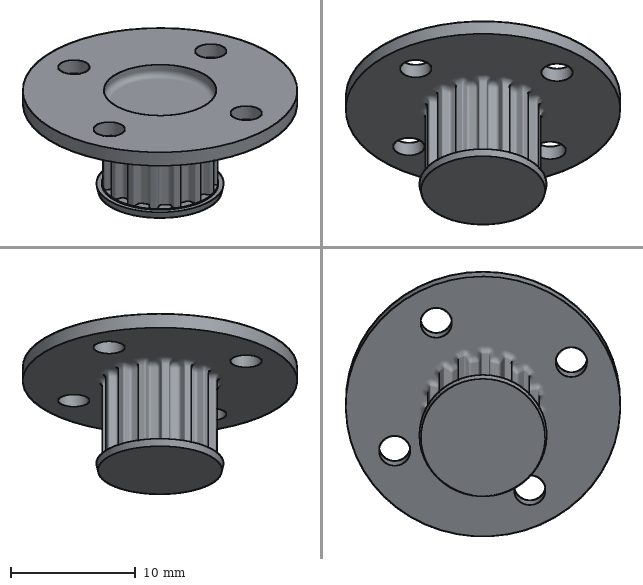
import cadquery as cq
import math

TOTAL_HEIGHT = 8.98
FLANGE_RADIUS = 11.0
FLANGE_THICKNESS = 1.2
FLANGE_BOTTOM = TOTAL_HEIGHT - FLANGE_THICKNESS
HOLE_COUNT = 4
HOLE_DIAMETER = 2.5
HOLE_CIRCLE_RADIUS = 8.0

POCKET_DIAMETER = 9.0
POCKET_DEPTH = 1.01
POCKET_FILLET = 0.5

RIM_BOTTOM_RADIUS = 4.97
RIM_TOP_RADIUS = 5.1
RIM_THICKNESS = 0.6
STEP_BOTTOM_RADIUS = 4.69
STEP_TOP_RADIUS = 4.65
STEP_HEIGHT = 0.07
STEP_TOP = RIM_THICKNESS + STEP_HEIGHT

TOOTH_COUNT = 15
TOOTH_PITCH = 2 * math.pi / TOOTH_COUNT
FIRST_TOOTH_ANGLE = -math.pi / 2
TIP_RADIUS = 4.6
GROOVE_DEPTH = 0.68
GROOVE_FLOOR_WIDTH = 0.81
GROOVE_FLANK_ANGLE = math.radians(20.0)
ROOT_FILLET = 0.25
TIP_FILLET = 0.1
NECK_FILLET = 0.48


def distance_from_axis(shape):
    center = shape.Center()
    return math.hypot(center.x, center.y)


def groove_corners(groove_angle):
    """The four corners of one groove, counter-clockwise: tip, root, root, tip."""
    root_radius = TIP_RADIUS - GROOVE_DEPTH
    root_half = GROOVE_FLOOR_WIDTH / 2
    mouth_half = root_half + GROOVE_DEPTH * math.tan(GROOVE_FLANK_ANGLE)
    corners = [
        (TIP_RADIUS, -mouth_half),
        (root_radius, -root_half),
        (root_radius, root_half),
        (TIP_RADIUS, mouth_half),
    ]
    cosine = math.cos(groove_angle)
    sine = math.sin(groove_angle)
    return [(r * cosine - t * sine, r * sine + t * cosine) for r, t in corners]


def toothed_barrel():
    outline = []
    for i in range(TOOTH_COUNT):
        outline += groove_corners(FIRST_TOOTH_ANGLE + (i + 0.5) * TOOTH_PITCH)
    barrel = cq.Workplane("XY").polyline(outline).close().extrude(FLANGE_BOTTOM)
    mid_groove_radius = TIP_RADIUS - GROOVE_DEPTH / 2
    root_edges = barrel.edges("|Z").filter(lambda e: distance_from_axis(e) < mid_groove_radius)
    barrel = root_edges.fillet(ROOT_FILLET)
    tip_edges = barrel.edges("|Z").filter(lambda e: distance_from_axis(e) > TIP_RADIUS)
    return tip_edges.fillet(TIP_FILLET)


def flange_blank():
    return cq.Workplane("XY", origin=(0, 0, FLANGE_BOTTOM)).circle(FLANGE_RADIUS).extrude(FLANGE_THICKNESS)


def with_neck_fillet(body):
    """Round the tooth outline into the underside of the flange."""
    underside = body.faces("|Z").faces(">Z[-2]")
    tooth_outline = underside.edges().filter(lambda e: e.BoundingBox().DiagonalLength < FLANGE_RADIUS)
    return tooth_outline.fillet(NECK_FILLET)


def retaining_rim():
    half_section = [
        (0, 0),
        (RIM_BOTTOM_RADIUS, 0),
        (RIM_TOP_RADIUS, RIM_THICKNESS),
        (STEP_BOTTOM_RADIUS, RIM_THICKNESS),
        (STEP_TOP_RADIUS, STEP_TOP),
        (0, STEP_TOP),
    ]
    return cq.Workplane("XZ").polyline(half_section).close().revolve(360, (0, 0), (0, 1))


def pocket():
    floor_height = TOTAL_HEIGHT - POCKET_DEPTH
    cutter = cq.Workplane("XY", origin=(0, 0, floor_height)).circle(POCKET_DIAMETER / 2).extrude(POCKET_DEPTH)
    return cutter.faces("<Z").edges().fillet(POCKET_FILLET)


def bolt_holes():
    holes = cq.Workplane("XY", origin=(0, 0, FLANGE_BOTTOM))
    holes = holes.polarArray(HOLE_CIRCLE_RADIUS, 0, 360, HOLE_COUNT)
    return holes.circle(HOLE_DIAMETER / 2).extrude(FLANGE_THICKNESS)


pulley = with_neck_fillet(toothed_barrel().union(flange_blank()))
result = pulley.union(retaining_rim()).cut(pocket()).cut(bolt_holes())